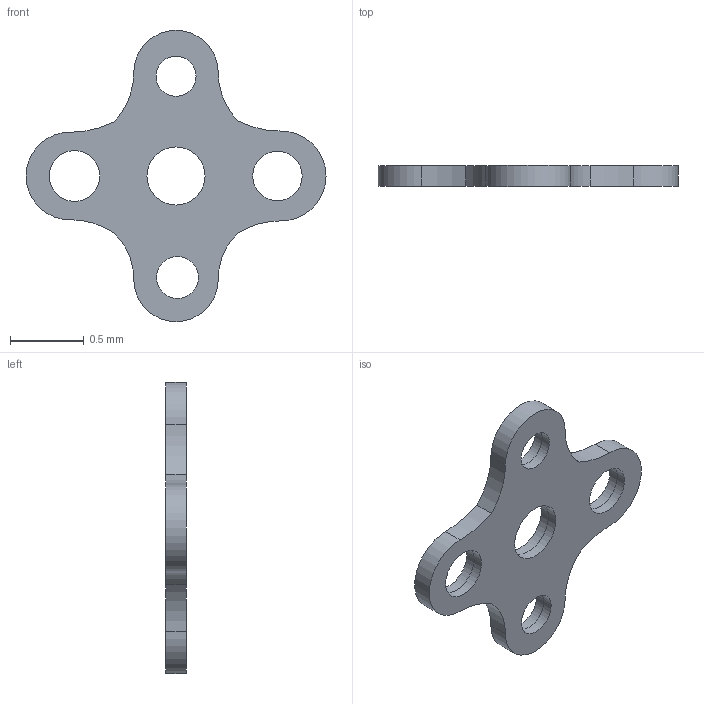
import cadquery as cq
import math

length_x = 2.04
height_z = 1.98
thickness = 0.14

right_radius = 0.305
top_radius = 0.287
left_radius = 0.297
bottom_radius = 0.287

corner_x = 0.422
upper_right_corner_z = 0.373
upper_left_corner_z = 0.366
lower_corner_z = -0.385

center_hole_diameter = 0.395
right_hole_diameter = 0.336
top_hole_diameter = 0.272
left_hole_diameter = 0.345
bottom_hole_diameter = 0.285
hole_offset = 0.69
top_hole_offset = 0.678
bottom_hole_shift = 0.01

upper_right = (corner_x, upper_right_corner_z)
upper_left = (-corner_x, upper_left_corner_z)
lower_left = (-corner_x, lower_corner_z)
lower_right = (corner_x, lower_corner_z)

lobes = [
    (0, length_x / 2, right_radius, lower_right, upper_right),
    (90, height_z / 2, top_radius, upper_right, upper_left),
    (180, length_x / 2, left_radius, upper_left, lower_left),
    (270, height_z / 2, bottom_radius, lower_left, lower_right),
]


def flank_middle(tangent_point, outward, side, corner):
    """Middle point of the concave arc that leaves a lobe end along its axis and meets a corner."""
    chord_x = corner[0] - tangent_point[0]
    chord_z = corner[1] - tangent_point[1]
    inward_run = -(chord_x * outward[0] + chord_z * outward[1])
    side_rise = chord_x * side[0] + chord_z * side[1]
    flank_radius = (inward_run**2 + side_rise**2) / (2 * side_rise)
    half_sweep = math.asin(inward_run / flank_radius) / 2
    middle_run = flank_radius * math.sin(half_sweep)
    middle_rise = flank_radius * (1 - math.cos(half_sweep))
    return (
        tangent_point[0] - outward[0] * middle_run + side[0] * middle_rise,
        tangent_point[1] - outward[1] * middle_run + side[1] * middle_rise,
    )


def add_lobe(outline, angle, reach, radius, corner_before, corner_after):
    """Extend the outline around one lobe: concave flank, round end, concave flank."""
    outward = (math.cos(math.radians(angle)), math.sin(math.radians(angle)))
    left_side = (-outward[1], outward[0])
    right_side = (outward[1], -outward[0])
    end_center = (outward[0] * (reach - radius), outward[1] * (reach - radius))
    end_start = (end_center[0] + right_side[0] * radius, end_center[1] + right_side[1] * radius)
    end_finish = (end_center[0] + left_side[0] * radius, end_center[1] + left_side[1] * radius)
    tip = (outward[0] * reach, outward[1] * reach)

    outline = outline.threePointArc(flank_middle(end_start, outward, right_side, corner_before), end_start)
    outline = outline.threePointArc(tip, end_finish)
    return outline.threePointArc(flank_middle(end_finish, outward, left_side, corner_after), corner_after)


def make_plate():
    """Solid four-lobed plate, centred on the XZ plane."""
    outline = cq.Workplane("XZ").moveTo(*lower_right)
    for lobe in lobes:
        outline = add_lobe(outline, *lobe)
    return outline.close().extrude(thickness / 2, both=True)


def cut_hole(plate, position, diameter):
    """Cut a round hole through the plate thickness."""
    cutter = cq.Workplane("XZ").center(*position).circle(diameter / 2).extrude(thickness, both=True)
    return plate.cut(cutter)


holes = [
    ((0, 0), center_hole_diameter),
    ((hole_offset, 0), right_hole_diameter),
    ((0, top_hole_offset), top_hole_diameter),
    ((-hole_offset, 0), left_hole_diameter),
    ((bottom_hole_shift, -hole_offset), bottom_hole_diameter),
]

result = make_plate()
for hole_position, hole_diameter in holes:
    result = cut_hole(result, hole_position, hole_diameter)